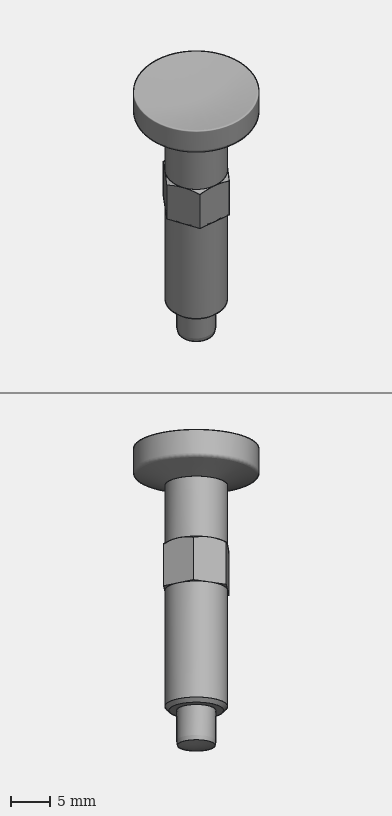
import cadquery as cq
import math

total_height = 40.0

knob_radius = 8.0
knob_height = 5.0
knob_cone_angle = 20.0
knob_edge_fillet = 0.5
knob_rim_fillet = 0.1
dish_radius = 7.75
dish_depth = 0.9

shank_radius = 4.0
hex_across_flats = 2 * shank_radius
hex_height = 6.0
hex_top_z = 27.0
hex_chamfer_angle = 30.0
hex_half_sector = 180 / 6
sleeve_bottom_z = 5.0
sleeve_chamfer = 0.5

pin_radius = 2.5
pin_tip_radius = 2.4
pin_cone_height = 0.55
pin_tip_sphere_radius = 8.8


def make_knob():
    """Disc with a conical underside, rounded edges and a dished top."""
    bottom_z = total_height - knob_height
    cone_height = (knob_radius - shank_radius) * math.tan(math.radians(knob_cone_angle))
    cone_top_z = bottom_z + cone_height
    knob = (
        cq.Workplane("XZ")
        .moveTo(0, bottom_z)
        .lineTo(shank_radius, bottom_z)
        .lineTo(knob_radius, cone_top_z)
        .lineTo(knob_radius, total_height)
        .lineTo(0, total_height)
        .close()
        .revolve(360, (0, 0), (0, 1))
    )
    lower_edge = cq.selectors.NearestToPointSelector((knob_radius, 0, cone_top_z))
    knob = knob.edges("%CIRCLE").edges(lower_edge).fillet(knob_edge_fillet)
    knob = knob.faces(">Z").edges().fillet(knob_rim_fillet)
    sphere_radius = (dish_radius**2 + dish_depth**2) / (2 * dish_depth)
    dish_center_z = total_height - dish_depth + sphere_radius
    dish = cq.Workplane("XY").sphere(sphere_radius).translate((0, 0, dish_center_z))
    return knob.cut(dish)


def make_sleeve():
    """Straight cylinder from the knob to the chamfered lower end."""
    length = total_height - knob_height - sleeve_bottom_z
    sleeve = cq.Workplane("XY").workplane(offset=sleeve_bottom_z).circle(shank_radius).extrude(length)
    return sleeve.faces("<Z").chamfer(sleeve_chamfer)


def make_hexagon():
    """Hexagon with flats facing +X and -X and its upper corners turned off to a cone."""
    corner_radius = hex_across_flats / 2 / math.cos(math.radians(hex_half_sector))
    bottom_z = hex_top_z - hex_height
    prism = (
        cq.Workplane("XY")
        .workplane(offset=bottom_z)
        .polygon(6, 2 * corner_radius)
        .extrude(hex_height)
        .rotate((0, 0, 0), (0, 0, 1), hex_half_sector)
    )
    envelope_radius = 1.1 * corner_radius
    cone_drop = (envelope_radius - shank_radius) * math.tan(math.radians(hex_chamfer_angle))
    envelope = (
        cq.Workplane("XZ")
        .moveTo(0, bottom_z)
        .lineTo(envelope_radius, bottom_z)
        .lineTo(envelope_radius, hex_top_z - cone_drop)
        .lineTo(shank_radius, hex_top_z)
        .lineTo(0, hex_top_z)
        .close()
        .revolve(360, (0, 0), (0, 1))
    )
    return prism.intersect(envelope)


def make_pin():
    """Pin with a steep lead-in cone and a shallow spherical tip."""
    half_angle = math.asin(pin_tip_radius / pin_tip_sphere_radius)

    def tip_point(angle):
        return (
            pin_tip_sphere_radius * math.sin(angle),
            pin_tip_sphere_radius * (1 - math.cos(angle)),
        )

    tip_rim = tip_point(half_angle)
    return (
        cq.Workplane("XZ")
        .moveTo(0, 0)
        .threePointArc(tip_point(half_angle / 2), tip_rim)
        .lineTo(pin_radius, tip_rim[1] + pin_cone_height)
        .lineTo(pin_radius, sleeve_bottom_z)
        .lineTo(0, sleeve_bottom_z)
        .close()
        .revolve(360, (0, 0), (0, 1))
    )


result = make_sleeve().union(make_knob()).union(make_hexagon()).union(make_pin())